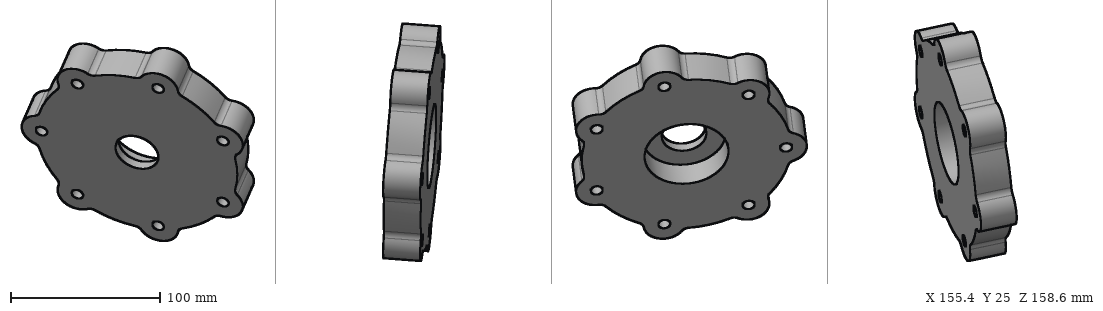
import cadquery as cq
import math

thickness = 25.0
disc_radius = 70.5
lobe_count = 7
lobe_radius = 14.0
bolt_circle_radius = 67.0
bolt_hole_diameter = 8.0
bore_diameter = 30.0
front_wall_thickness = 7.0
recess_diameter = 56.5
neck_fillet_radius = 5.5

lobe_angles = [math.pi + 2 * math.pi * i / lobe_count for i in range(lobe_count)]
lobe_centres = [
    (bolt_circle_radius * math.cos(angle), bolt_circle_radius * math.sin(angle))
    for angle in lobe_angles
]
plate_centre = [(0, 0)]


def make_cylinders(centres, diameter, start=0.0):
    """Cylinders along Y at the given XZ points, from Y = start to the back face."""
    return (
        cq.Workplane("XZ", origin=(0, start, 0))
        .pushPoints(centres)
        .circle(diameter / 2)
        .extrude(start - thickness)
    )


def neck_points():
    """XZ points where each lobe circle crosses the rim of the disc."""
    cosine = (disc_radius**2 + bolt_circle_radius**2 - lobe_radius**2) / (
        2 * disc_radius * bolt_circle_radius
    )
    half_angle = math.acos(cosine)
    return [
        (disc_radius * math.cos(angle + side), disc_radius * math.sin(angle + side))
        for angle in lobe_angles
        for side in (-half_angle, half_angle)
    ]


def make_body():
    """Round plate with bolt lobes, blended where each lobe meets the rim."""
    body = make_cylinders(plate_centre, 2 * disc_radius)
    for centre in lobe_centres:
        body = body.union(make_cylinders([centre], 2 * lobe_radius))
    necks = [
        body.edges("|Y").edges(cq.NearestToPointSelector((x, thickness / 2, z))).val()
        for x, z in neck_points()
    ]
    return body.newObject(necks).fillet(neck_fillet_radius)


bolt_holes = make_cylinders(lobe_centres, bolt_hole_diameter)
bore = make_cylinders(plate_centre, bore_diameter)
back_recess = make_cylinders(plate_centre, recess_diameter, start=front_wall_thickness)

result = make_body().cut(bolt_holes).cut(bore).cut(back_recess)